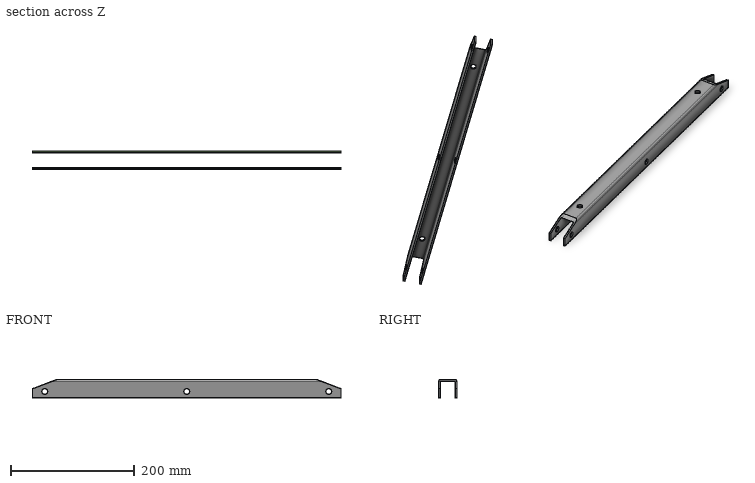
import cadquery as cq

length = 500.0
width = 30.0
height = 30.0
wall = 3.0
outer_radius = 3.5
inner_radius = 1.5

end_height = 15.0
slope_length = 39.5

hole_diameter = 9.0
side_hole_height = 10.5
end_hole_inset = 20.0
top_hole_inset = 70.0

half_length = length / 2


def rounded_bar(bar_width, bar_height, radius):
    """Full-length bar standing on Z = 0 with its two long top edges rounded."""
    bar = cq.Workplane("XY").box(length, bar_width, bar_height, centered=(True, True, False))
    return bar.edges("|X and >Z").fillet(radius)


def side_profile():
    """Side outline with both upper corners sloped off, extruded across the width."""
    return (
        cq.Workplane("XZ")
        .moveTo(-half_length, 0)
        .lineTo(half_length, 0)
        .lineTo(half_length, end_height)
        .lineTo(half_length - slope_length, height)
        .lineTo(-half_length + slope_length, height)
        .lineTo(-half_length, end_height)
        .close()
        .extrude(width / 2, both=True)
    )


def side_holes():
    """Cross holes through both side walls: one at each end and one in the middle."""
    end_x = half_length - end_hole_inset
    centers = [(x, side_hole_height) for x in (-end_x, 0, end_x)]
    return (
        cq.Workplane("XZ").pushPoints(centers)
        .circle(hole_diameter / 2).extrude(width, both=True)
    )


def top_holes():
    """Vertical holes through the top wall."""
    hole_x = half_length - top_hole_inset
    return (
        cq.Workplane("XY").pushPoints([(-hole_x, 0), (hole_x, 0)])
        .circle(hole_diameter / 2).extrude(height * 2)
    )


channel = rounded_bar(width, height, outer_radius).cut(
    rounded_bar(width - 2 * wall, height - wall, inner_radius)
)
result = channel.intersect(side_profile()).cut(side_holes()).cut(top_holes())